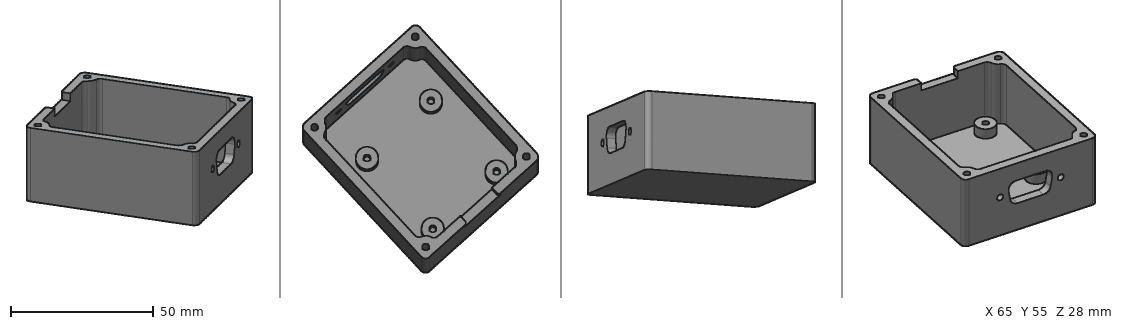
import cadquery as cq
import math

length = 65.0
width = 55.0
height = 28.0
outer_corner_radius = 2.0
wall = 3.5
floor = 3.0
cavity_depth = height - floor
cavity_length = length - 2 * wall
cavity_width = width - 2 * wall

post_radius = 4.0
post_blend_radius = 1.95
screw_hole_diameter = 2.5

standoff_diameter = 8.0
standoff_height = 4.0
standoff_inset = 9.5
standoff_spacing_x = 34.25
standoff_spacing_y = 30.4

notch_width = 15.0
notch_depth = 3.0
notch_edge_radius = 1.0

connector_z = 16.0
connector_screw_spacing = 24.95
window_height = 9.6
window_mid_width = 17.4
window_side_angle = 10.0
window_corner_radius = 3.0


def make_cavity():
    """Rectangular pocket with a round post left standing in each corner."""
    cavity = cq.Workplane("XY").box(
        cavity_length, cavity_width, cavity_depth, centered=(True, True, False)
    )
    posts = (
        cq.Workplane("XY")
        .rect(cavity_length, cavity_width, forConstruction=True)
        .vertices()
        .circle(post_radius)
        .extrude(cavity_depth)
    )
    cavity = cavity.cut(posts).edges("|Z").fillet(post_blend_radius)
    return cavity.translate((0, 0, floor))


def make_lid_screw_holes():
    """Blind holes centred on the cavity corners, reaching the floor level."""
    return (
        cq.Workplane("XY", origin=(0, 0, floor))
        .rect(cavity_length, cavity_width, forConstruction=True)
        .vertices()
        .circle(screw_hole_diameter / 2)
        .extrude(cavity_depth)
    )


def make_standoffs():
    """Four tubular standoffs, placed nearer to the -X wall."""
    centre_x = -length / 2 + standoff_inset + standoff_spacing_x / 2
    return (
        cq.Workplane("XY", origin=(centre_x, 0, floor))
        .rect(standoff_spacing_x, standoff_spacing_y, forConstruction=True)
        .vertices()
        .circle(standoff_diameter / 2)
        .circle(screw_hole_diameter / 2)
        .extrude(standoff_height)
    )


def cut_rim_notch(body):
    """Open the rim of the -X wall and round the notch's outer upright edges."""
    outer_x = -length / 2
    half_width = notch_width / 2
    mouth_half_width = half_width + notch_edge_radius
    arc_offset = notch_edge_radius * (1 - math.sqrt(0.5))
    notch = (
        cq.Workplane("XY", origin=(0, 0, height - notch_depth))
        .moveTo(outer_x, -mouth_half_width)
        .threePointArc(
            (outer_x + arc_offset, -half_width - arc_offset),
            (outer_x + notch_edge_radius, -half_width),
        )
        .lineTo(outer_x + wall, -half_width)
        .lineTo(outer_x + wall, half_width)
        .lineTo(outer_x + notch_edge_radius, half_width)
        .threePointArc(
            (outer_x + arc_offset, half_width + arc_offset),
            (outer_x, mouth_half_width),
        )
        .close()
        .extrude(notch_depth)
    )
    return body.cut(notch)


def make_connector_cutouts():
    """D-shaped window, wider at the top, between two round screw holes."""
    half_height = window_height / 2
    taper = half_height * math.tan(math.radians(window_side_angle))
    top_half_width = window_mid_width / 2 + taper
    bottom_half_width = window_mid_width / 2 - taper
    inner_face = cq.Workplane("YZ", origin=(length / 2 - wall, 0, connector_z))
    window = (
        inner_face.polyline([
            (-bottom_half_width, -half_height),
            (bottom_half_width, -half_height),
            (top_half_width, half_height),
            (-top_half_width, half_height),
        ])
        .close()
        .extrude(wall)
        .edges("|X")
        .fillet(window_corner_radius)
    )
    screw_holes = (
        inner_face.pushPoints([
            (-connector_screw_spacing / 2, 0),
            (connector_screw_spacing / 2, 0),
        ])
        .circle(screw_hole_diameter / 2)
        .extrude(wall)
    )
    return window.union(screw_holes)


body = (
    cq.Workplane("XY")
    .box(length, width, height, centered=(True, True, False))
    .edges("|Z")
    .fillet(outer_corner_radius)
)
body = body.cut(make_cavity())
body = body.cut(make_lid_screw_holes())
body = body.union(make_standoffs())
body = cut_rim_notch(body)
result = body.cut(make_connector_cutouts())